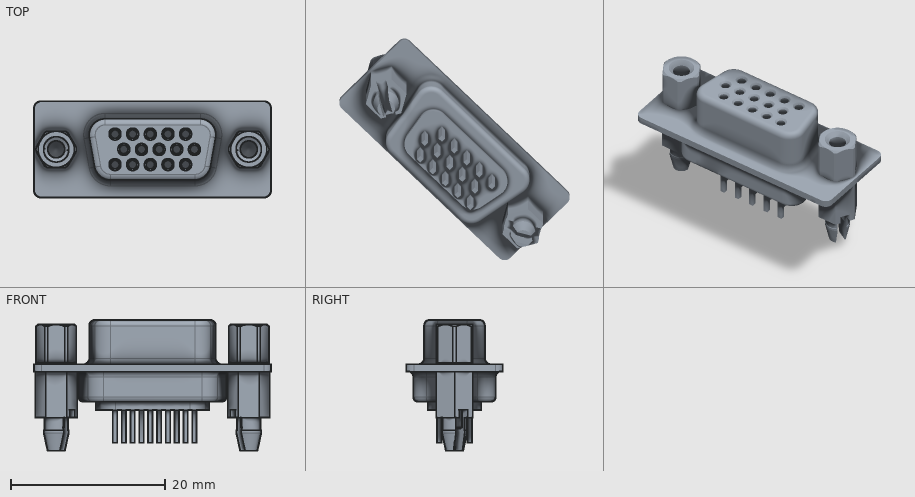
import cadquery as cq
import math


OVERALL_HEIGHT = 17.0

FLANGE_LENGTH = 30.81
FLANGE_WIDTH = 12.55
FLANGE_THICKNESS = 0.95
FLANGE_CORNER_RADIUS = 1.0
FLANGE_BOTTOM = -FLANGE_THICKNESS

END_SLANT = math.radians(10)

SHELL_LENGTH = 16.43
SHELL_WIDTH = 7.92
SHELL_HEIGHT = 5.75
SHELL_CORNER_RADIUS = 2.05
SHELL_FILLET = 0.75

REAR_LENGTH = 19.2
REAR_WIDTH = 10.72
REAR_BOTTOM = -4.88
REAR_CORNER_RADIUS = 2.05
REAR_FILLET = 0.65

INSULATOR_LENGTH = 14.75
INSULATOR_WIDTH = 7.0
INSULATOR_BOTTOM = -5.95
INSULATOR_CORNER_RADIUS = 2.0

CONTACTS_PER_ROW = 5
CONTACT_PITCH = 2.29
ROW_SPACING = 1.98
OUTER_ROW_SHIFT = -CONTACT_PITCH / 8
MIDDLE_ROW_SHIFT = OUTER_ROW_SHIFT + CONTACT_PITCH / 2
SOCKET_DIAMETER = 1.1
SOCKET_MOUTH_DIAMETER = 1.55
SOCKET_DEPTH = 4.0
PIN_SIDE = 0.6
PIN_BOTTOM = -10.2

SCREW_SPACING = 24.99
HEX_ACROSS_FLATS = 4.75
HEX_ACROSS_CORNERS = HEX_ACROSS_FLATS / math.cos(math.radians(30))
JACK_TOP = 5.17
JACK_TURNED_DIAMETER = 5.25
JACK_CHAMFER = 0.27
COLLAR_DIAMETER = 4.65
COLLAR_HEIGHT = 0.2
SCREW_BORE_DIAMETER = 2.2
SCREW_BORE_MOUTH_DIAMETER = 3.3
SCREW_BORE_END = 0.0
PEG_BORE_DIAMETER = 2.07
PEG_BORE_END = -8.17
DRILL_POINT_ANGLE = math.radians(118)

STANDOFF_BOTTOM = -6.95
PEG_DIAMETER = 3.08
RIB_DIAMETER = 3.27
RIB_TOP = -8.6
RIB_BOTTOM = -8.9
PEG_TIP_DIAMETER = 2.25
PEG_BOTTOM = SHELL_HEIGHT - OVERALL_HEIGHT
SLOT_WIDTH = 1.3
SLOT_TOP = -5.92
SLOT_ANGLE = 150


def d_prism(length, width, corner_radius, z_bottom, z_top):
    """Prism with a D-shaped outline: rounded trapezoid, wider on the +Y side."""
    half_wide = length / 2 - corner_radius
    half_depth = width / 2 - corner_radius
    half_narrow = half_wide - 2 * half_depth * math.tan(END_SLANT)
    arc_centres = [
        (-half_wide, half_depth),
        (half_wide, half_depth),
        (half_narrow, -half_depth),
        (-half_narrow, -half_depth),
    ]
    outline = cq.Workplane("XY").workplane(offset=z_bottom).polyline(arc_centres).close()
    return outline.offset2D(corner_radius, "arc").extrude(z_top - z_bottom)


def cylinder(diameter, z_bottom, z_top):
    return cq.Workplane("XY").workplane(offset=z_bottom).circle(diameter / 2).extrude(z_top - z_bottom)


def hexagon(z_bottom, z_top):
    """Hexagonal bar with flats facing +Y and -Y."""
    plane = cq.Workplane("XY").workplane(offset=z_bottom)
    return plane.polygon(6, HEX_ACROSS_CORNERS).extrude(z_top - z_bottom)


def revolved(profile):
    """Solid of revolution about Z from (radius, z) points."""
    return cq.Workplane("XZ").polyline(profile).close().revolve(360, (0, 0, 0), (0, 1, 0))


def foot_selector(length, width, z):
    """Select the edges of a shell outline lying in the flange face at height z."""
    margin = FLANGE_THICKNESS / 4
    x = length / 2 + margin
    y = width / 2 + margin
    return cq.selectors.BoxSelector((-x, -y, z - margin), (x, y, z + margin))


def make_shells():
    flange = (
        cq.Workplane("XY").workplane(offset=FLANGE_BOTTOM)
        .rect(FLANGE_LENGTH, FLANGE_WIDTH).extrude(FLANGE_THICKNESS)
        .edges("|Z").fillet(FLANGE_CORNER_RADIUS)
    )
    shell = d_prism(SHELL_LENGTH, SHELL_WIDTH, SHELL_CORNER_RADIUS, 0, SHELL_HEIGHT)
    shell = shell.faces(">Z").edges().fillet(SHELL_FILLET)
    rear = d_prism(REAR_LENGTH, REAR_WIDTH, REAR_CORNER_RADIUS, REAR_BOTTOM, FLANGE_BOTTOM)
    rear = rear.faces("<Z").edges().fillet(REAR_FILLET)
    body = flange.union(shell).union(rear)

    body = body.edges(foot_selector(SHELL_LENGTH, SHELL_WIDTH, 0)).fillet(SHELL_FILLET)
    return body.edges(foot_selector(REAR_LENGTH, REAR_WIDTH, FLANGE_BOTTOM)).fillet(REAR_FILLET)


def contact_positions():
    rows = [
        (ROW_SPACING, OUTER_ROW_SHIFT),
        (0, MIDDLE_ROW_SHIFT),
        (-ROW_SPACING, OUTER_ROW_SHIFT),
    ]
    middle = (CONTACTS_PER_ROW - 1) / 2
    return [
        (shift + (column - middle) * CONTACT_PITCH, y)
        for y, shift in rows
        for column in range(CONTACTS_PER_ROW)
    ]


def make_pins():
    plane = cq.Workplane("XY").workplane(offset=PIN_BOTTOM)
    return plane.pushPoints(contact_positions()).rect(PIN_SIDE, PIN_SIDE).extrude(REAR_BOTTOM - PIN_BOTTOM)


def make_socket_holes():
    """Blind contact holes with a 45 degree lead-in at the mating face."""
    radius = SOCKET_DIAMETER / 2
    mouth_radius = SOCKET_MOUTH_DIAMETER / 2
    hole = revolved([
        (0, SHELL_HEIGHT),
        (mouth_radius, SHELL_HEIGHT),
        (radius, SHELL_HEIGHT - (mouth_radius - radius)),
        (radius, SHELL_HEIGHT - SOCKET_DEPTH),
        (0, SHELL_HEIGHT - SOCKET_DEPTH),
    ])
    holes = cq.Workplane("XY")
    for x, y in contact_positions():
        holes = holes.add(hole.translate((x, y, 0)))
    return holes.combine()


def make_jack_screw():
    """Hexagonal jack nut with turned corners and a chamfered top, on a round collar."""
    turned = cylinder(JACK_TURNED_DIAMETER, COLLAR_HEIGHT, JACK_TOP).faces(">Z").chamfer(JACK_CHAMFER)
    nut = hexagon(COLLAR_HEIGHT, JACK_TOP).intersect(turned)
    return nut.union(cylinder(COLLAR_DIAMETER, 0, COLLAR_HEIGHT))


def make_board_lock():
    """Hexagonal standoff with a ribbed, tapered peg, split by a slot running across both."""
    peg = revolved([
        (0, STANDOFF_BOTTOM),
        (PEG_DIAMETER / 2, STANDOFF_BOTTOM),
        (PEG_DIAMETER / 2, RIB_TOP),
        (RIB_DIAMETER / 2, RIB_TOP),
        (RIB_DIAMETER / 2, RIB_BOTTOM),
        (PEG_TIP_DIAMETER / 2, PEG_BOTTOM),
        (0, PEG_BOTTOM),
    ])
    slot = (
        cq.Workplane("XY").workplane(offset=PEG_BOTTOM)
        .rect(2 * HEX_ACROSS_CORNERS, SLOT_WIDTH).extrude(SLOT_TOP - PEG_BOTTOM)
        .rotate((0, 0, 0), (0, 0, 1), SLOT_ANGLE)
    )
    return hexagon(STANDOFF_BOTTOM, FLANGE_BOTTOM).union(peg).cut(slot).cut(make_peg_bore())


def drill_point_depth(radius):
    return radius / math.tan(DRILL_POINT_ANGLE / 2)


def make_screw_bore():
    """Countersunk blind bore in the jack screw, ending in a drill point."""
    radius = SCREW_BORE_DIAMETER / 2
    mouth_radius = SCREW_BORE_MOUTH_DIAMETER / 2
    return revolved([
        (0, JACK_TOP),
        (mouth_radius, JACK_TOP),
        (radius, JACK_TOP - (mouth_radius - radius)),
        (radius, SCREW_BORE_END),
        (0, SCREW_BORE_END - drill_point_depth(radius)),
    ])


def make_peg_bore():
    """Bore inside the peg, from the top of the slot down to a drill point."""
    radius = PEG_BORE_DIAMETER / 2
    return revolved([
        (0, SLOT_TOP),
        (radius, SLOT_TOP),
        (radius, PEG_BORE_END),
        (0, PEG_BORE_END - drill_point_depth(radius)),
    ])


def on_both_ends(left_solid):
    """Place a solid at the -X screw position and its mirror image at +X."""
    left = left_solid.translate((-SCREW_SPACING / 2, 0, 0))
    return left, left.mirror("YZ")


insulator = d_prism(
    INSULATOR_LENGTH, INSULATOR_WIDTH, INSULATOR_CORNER_RADIUS, INSULATOR_BOTTOM, REAR_BOTTOM
)
result = make_shells().union(insulator).union(make_pins())
for jack_screw in on_both_ends(make_jack_screw()):
    result = result.union(jack_screw)
for board_lock in on_both_ends(make_board_lock()):
    result = result.union(board_lock)
for bore in on_both_ends(make_screw_bore()):
    result = result.cut(bore)
result = result.cut(make_socket_holes())